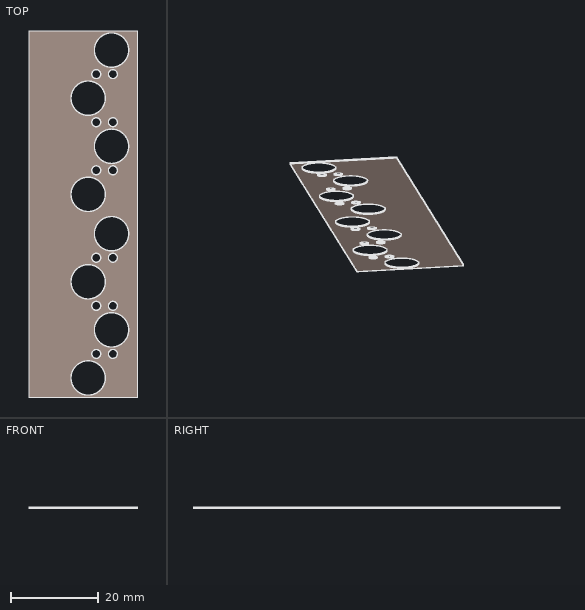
import cadquery as cq

WIDTH = 24.85
LENGTH = 83.9
THICKNESS = 0.3

LARGE_DIAMETER = 7.8
LEFT_COLUMN_X = 13.55
RIGHT_COLUMN_X = 18.9
ROW_PITCH = 11.0
ROWS_PER_GROUP = 4
GROUP_OFFSET = 42.0
FIRST_ROW_Y = 4.52

SMALL_DIAMETER = 2.0
PAIR_LEFT_X = 15.4
PAIR_SPACING = 3.81


def large_hole_centers(group_y):
    """Zigzag centers of one group, starting in the left column."""
    columns = (LEFT_COLUMN_X, RIGHT_COLUMN_X)
    return [
        (columns[row % len(columns)], group_y + row * ROW_PITCH)
        for row in range(ROWS_PER_GROUP)
    ]


def small_hole_centers(group_y):
    """Centers of the hole pairs between the rows of one group."""
    return [
        (x, group_y + (gap + 0.5) * ROW_PITCH)
        for gap in range(ROWS_PER_GROUP - 1)
        for x in (PAIR_LEFT_X, PAIR_LEFT_X + PAIR_SPACING)
    ]


def drill(body, centers, diameter):
    """Cut through holes of one diameter at the given centers."""
    cutters = cq.Workplane("XY").pushPoints(centers).circle(diameter / 2).extrude(THICKNESS)
    return body.cut(cutters)


plate = cq.Workplane("XY").box(WIDTH, LENGTH, THICKNESS, centered=False)

for group_start_y in (FIRST_ROW_Y, FIRST_ROW_Y + GROUP_OFFSET):
    plate = drill(plate, large_hole_centers(group_start_y), LARGE_DIAMETER)
    plate = drill(plate, small_hole_centers(group_start_y), SMALL_DIAMETER)

result = plate